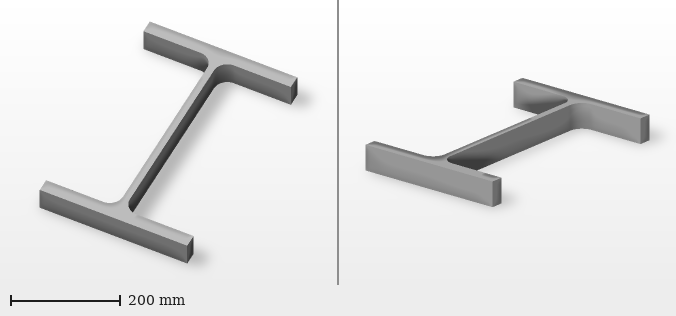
import cadquery as cq

flange_width = 300.0
section_depth = 450.0
web_thickness = 14.0
flange_thickness = 26.0
root_radius = 27.0
beam_length = 50.0


def make_flange(side):
    """Flange plate at the +Y (side = 1) or -Y (side = -1) end of the web."""
    center_y = side * (section_depth - flange_thickness) / 2
    return (
        cq.Workplane("XY")
        .center(0, center_y)
        .rect(flange_width, flange_thickness)
        .extrude(beam_length)
    )


def make_web():
    """Thin plate that joins the inner faces of the two flanges."""
    web_depth = section_depth - 2 * flange_thickness
    return cq.Workplane("XY").rect(web_thickness, web_depth).extrude(beam_length)


def round_roots(beam):
    """Fillet the four inner corners where the web meets the flanges."""
    half_web = web_thickness / 2
    half_clear_depth = section_depth / 2 - flange_thickness
    margin = 1.0
    root_zone = cq.selectors.BoxSelector(
        (-half_web - margin, -half_clear_depth - margin, 0),
        (half_web + margin, half_clear_depth + margin, beam_length),
    )
    return beam.edges("|Z").edges(root_zone).fillet(root_radius)


beam = make_web().union(make_flange(1)).union(make_flange(-1))
result = round_roots(beam)